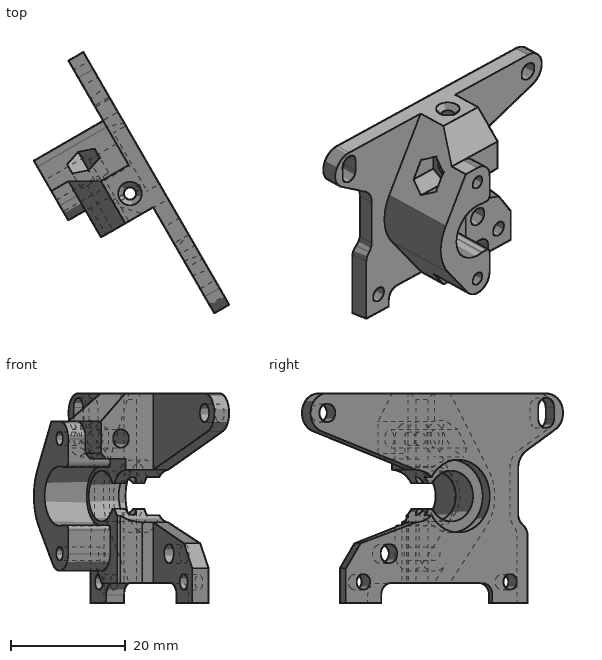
import cadquery as cq
import math

PLATE_YAW = 60.0
PLATE_T = 3.0
HEIGHT = 36.5
PLATE_HALF = 25.4

EAR_R = 3.4
EAR_U = PLATE_HALF - EAR_R
EAR_Z = HEIGHT - EAR_R
EAR_HOLE_D = 3.2
EAR_SLOT_LENGTH = 5.25

FOOT_U = 17.75
FOOT_FLARE = 0.5
FOOT_INNER_U = 12.2
NOTCH_FLARE = 1.05
NOTCH_Z = 3.45
NOTCH_R = 2.0
FOOT_HOLE_U = 14.75
FOOT_HOLE_Z = 3.7
FOOT_HOLE_D = 2.7
FOOT_TOP_Z = 6.05
SHOULDER_U = 14.85
SHOULDER_Z = 10.38
EXTRA_HOLE_U = 9.6
EXTRA_HOLE_D = 3.3

WAIST_U = -16.4
WAIST_CORNER_Z = 25.5
WAIST_R = 3.65
WAIST_BOTTOM_Z = 15.1
FOOT_LEFT_TOP_Z = 12.05
BEND_SHARE = 0.15

AXIS_Z = 18.6
BORE_U = -4.32
BODY_R = 9.0
BODY_RIGHT_U = 4.1
UPPER_SLANT = 30.0
WALL_W = 8.5
BLOCK_W = 13.45
ARM_W = 16.95
ARM_R = 3.0
ARM_SPACING = 10.0
ARM_HOLE_D = 2.3
ARM_TOP_Z = AXIS_Z + ARM_SPACING + ARM_R
OVERHANG_Z = 25.08
OVERHANG_CHAMFER = 1.0
CORNER_U = 1.2
CORNER_STEP_W = 7.87
CORNER_SIDE_W = 5.2

BORE_R = 5.2
INNER_BORE_R = 4.4
BACK_BORE_R = 6.33
BACK_BORE_DEPTH = 2.5
MOUTH_R = 4.55
MOUTH_U = 4.2
MOUTH_GAP = 4.45
ARM_GAP = 10.1
ARM_LIP_R = 0.77

GUIDE_W = 5.3
GUIDE_D = 2.1
GUIDE_SINK_D = 4.1
BOLT_W = 9.45
BOLT_Z = AXIS_Z + ARM_SPACING
BOLT_D = 3.2
NUT_FLATS = 5.5
NUT_FLOOR_U = -5.0

FAR = 68.25


def plane(w=0.0):
    """Working plane parallel to the plate, at height w above its back face."""
    return cq.Workplane("XZ", origin=(0, -w, 0))


def cylinder(u, z, radius, w_start, w_end):
    return plane(w_start).center(u, z).circle(radius).extrude(w_end - w_start)


def box(u_range, w_range, z_range):
    return cq.Workplane("XY").box(
        u_range[1] - u_range[0], w_range[1] - w_range[0], z_range[1] - z_range[0], centered=False
    ).translate((u_range[0], -w_range[1], z_range[0]))


def polar(u, z, radius, degrees):
    a = math.radians(degrees)
    return (u + radius * math.cos(a), z + radius * math.sin(a))


def ear_tangent(u, z, side):
    """Direction, about the ear centre, of the tangent point of a line from below."""
    du, dz = u - side * EAR_U, z - EAR_Z
    swing = math.acos(EAR_R / math.hypot(du, dz))
    return math.degrees(math.atan2(dz, du) + side * swing)


def plate_outline(w, outer, inner):
    """Plate outline at height w, with the foot sides moved by the given flares."""
    mouth_top = AXIS_Z + MOUTH_R
    mouth_bottom = AXIS_Z - MOUTH_R
    right_angle = ear_tangent(BODY_RIGHT_U, mouth_top, 1)
    left_angle = ear_tangent(WAIST_U, WAIST_CORNER_Z, -1)
    right_end = polar(EAR_U, EAR_Z, EAR_R, right_angle)
    left_end = polar(-EAR_U, EAR_Z, EAR_R, left_angle)
    slope = math.atan2(left_end[1] - WAIST_CORNER_Z, left_end[0] - WAIST_U)
    turn = math.pi / 2 - (math.pi - slope)
    run = WAIST_R * math.tan(turn / 2)
    waist_start = polar(WAIST_U, WAIST_CORNER_Z, run, math.degrees(slope))
    waist_mid = (WAIST_U - WAIST_R + WAIST_R * math.cos(turn / 2),
                 WAIST_CORNER_Z - run + WAIST_R * math.sin(turn / 2))
    foot = FOOT_U + outer
    wall = FOOT_INNER_U - inner
    arc = NOTCH_R * (1 - math.sqrt(0.5))
    bend_u = (WAIST_U - foot) / 2
    bend_z = (WAIST_BOTTOM_Z + FOOT_LEFT_TOP_Z) / 2
    quarter_u = (foot + WAIST_U) * BEND_SHARE
    quarter_z = (WAIST_BOTTOM_Z - FOOT_LEFT_TOP_Z) / 4
    return (
        plane(w)
        .moveTo(-EAR_U, HEIGHT)
        .lineTo(EAR_U, HEIGHT)
        .threePointArc(polar(EAR_U, EAR_Z, EAR_R, (90 + right_angle) / 2), right_end)
        .lineTo(BODY_RIGHT_U, mouth_top)
        .lineTo(BODY_RIGHT_U, mouth_bottom)
        .lineTo(SHOULDER_U + outer, SHOULDER_Z)
        .lineTo(foot, FOOT_TOP_Z)
        .lineTo(foot, 0)
        .lineTo(wall, 0)
        .lineTo(wall, NOTCH_Z - NOTCH_R)
        .threePointArc((wall - arc, NOTCH_Z - arc), (wall - NOTCH_R, NOTCH_Z))
        .lineTo(-wall + NOTCH_R, NOTCH_Z)
        .threePointArc((-wall + arc, NOTCH_Z - arc), (-wall, NOTCH_Z - NOTCH_R))
        .lineTo(-wall, 0)
        .lineTo(-foot, 0)
        .lineTo(-foot, FOOT_LEFT_TOP_Z)
        .threePointArc((-foot + quarter_u, bend_z - quarter_z), (bend_u, bend_z))
        .threePointArc((WAIST_U - quarter_u, bend_z + quarter_z), (WAIST_U, WAIST_BOTTOM_Z))
        .lineTo(WAIST_U, WAIST_CORNER_Z - run)
        .threePointArc(waist_mid, waist_start)
        .lineTo(*left_end)
        .threePointArc(polar(-EAR_U, EAR_Z, EAR_R, (90 + left_angle + 360) / 2), (-EAR_U, HEIGHT))
        .close()
    ).val()


def make_plate():
    back = plate_outline(0, FOOT_FLARE, NOTCH_FLARE)
    front = plate_outline(PLATE_T, 0, 0)
    plate = cq.Workplane(cq.Solid.makeLoft([back, front], True))
    holes = [
        (EAR_U, EAR_Z, EAR_HOLE_D),
        (EXTRA_HOLE_U, AXIS_Z - ARM_SPACING, EXTRA_HOLE_D),
        (FOOT_HOLE_U, FOOT_HOLE_Z, FOOT_HOLE_D),
        (-FOOT_HOLE_U, FOOT_HOLE_Z, FOOT_HOLE_D),
    ]
    for u, z, diameter in holes:
        plate = plate.cut(cylinder(u, z, diameter / 2, 0, PLATE_T))
    slot = plane().center(-EAR_U, EAR_Z).slot2D(EAR_SLOT_LENGTH, EAR_HOLE_D, 90).extrude(PLATE_T)
    return plate.cut(slot)


lower_slant = math.degrees(math.asin((BODY_R - ARM_R) / ARM_SPACING))
upper_tangent = polar(BORE_U, AXIS_Z, BODY_R, 180 - UPPER_SLANT)
lower_tangent = polar(BORE_U, AXIS_Z, BODY_R, 180 + lower_slant)
body_leftmost = (BORE_U - BODY_R, AXIS_Z)


def upper_left(z):
    """Point of the upper slanted side at height z."""
    return (upper_tangent[0] + (z - upper_tangent[1]) * math.tan(math.radians(UPPER_SLANT)), z)


def lower_left(z):
    """Point of the lower slanted side at height z."""
    return (lower_tangent[0] + (lower_tangent[1] - z) * math.tan(math.radians(lower_slant)), z)


def make_wall():
    wall = (
        plane()
        .moveTo(*upper_left(HEIGHT))
        .lineTo(BODY_RIGHT_U, HEIGHT)
        .lineTo(BODY_RIGHT_U, NOTCH_Z)
        .lineTo(*lower_left(NOTCH_Z))
        .lineTo(*lower_tangent)
        .threePointArc(body_leftmost, upper_tangent)
        .close()
        .extrude(WALL_W)
    )
    corner = (
        cq.Workplane("XY")
        .polyline([
            (CORNER_U, -WALL_W),
            (CORNER_U, -CORNER_STEP_W),
            (BODY_RIGHT_U, -CORNER_SIDE_W),
            (BODY_RIGHT_U, -WALL_W),
        ])
        .close()
        .extrude(AXIS_Z)
    )
    return wall.cut(corner)


def make_arms():
    """C-shaped clamp in front of the wall, open to the right."""
    edge = BORE_U + ARM_R
    top = AXIS_Z + ARM_SPACING
    bottom = AXIS_Z - ARM_SPACING
    lower_start = polar(BORE_U, bottom, ARM_R, 180 + lower_slant)
    arms = (
        plane(WALL_W)
        .moveTo(*upper_left(ARM_TOP_Z))
        .lineTo(BORE_U, ARM_TOP_Z)
        .threePointArc(polar(BORE_U, top, ARM_R, 45), (edge, top))
        .lineTo(edge, bottom)
        .threePointArc(polar(BORE_U, bottom, ARM_R, -45), lower_start)
        .lineTo(*lower_tangent)
        .threePointArc(body_leftmost, upper_tangent)
        .close()
        .extrude(ARM_W - WALL_W)
    )
    arms = arms.cut(cylinder(BORE_U, AXIS_Z, BORE_R, WALL_W, ARM_W))
    arms = arms.cut(box((BORE_U, FAR), (WALL_W, ARM_W), (AXIS_Z - ARM_GAP / 2, AXIS_Z + ARM_GAP / 2)))
    for z in (AXIS_Z - ARM_GAP / 2, AXIS_Z + ARM_GAP / 2):
        lip = cq.selectors.NearestToPointSelector((edge, -(WALL_W + ARM_W) / 2, z))
        arms = arms.edges(lip).fillet(ARM_LIP_R)
    for z in (bottom, top):
        arms = arms.cut(cylinder(BORE_U, z, ARM_HOLE_D / 2, WALL_W, ARM_W))
    return arms


def make_overhang():
    """Upper block with a sloping roof, overhanging the wall."""
    block = (
        plane(WALL_W)
        .polyline([
            upper_left(OVERHANG_Z),
            upper_left(HEIGHT),
            (BODY_RIGHT_U, HEIGHT),
            (BODY_RIGHT_U, OVERHANG_Z),
        ])
        .close()
        .extrude(BLOCK_W - WALL_W)
    )
    block = block.faces("<Y").edges("<Z").chamfer(OVERHANG_CHAMFER)
    roof_drop = HEIGHT - ARM_TOP_Z
    roof = (
        cq.Workplane("YZ", origin=(-FAR / 2, 0, 0))
        .polyline([(-BLOCK_W, ARM_TOP_Z), (-BLOCK_W, HEIGHT), (-BLOCK_W + roof_drop, HEIGHT)])
        .close()
        .extrude(FAR)
    )
    return block.cut(roof)


def cut_bores(part):
    part = part.cut(cylinder(BORE_U, AXIS_Z, INNER_BORE_R, 0, WALL_W))
    part = part.cut(cylinder(BORE_U, AXIS_Z, BACK_BORE_R, 0, BACK_BORE_DEPTH))
    part = part.cut(cylinder(MOUTH_U, AXIS_Z, MOUTH_R, 0, WALL_W))
    part = part.cut(box((BORE_U, MOUTH_U), (0, WALL_W), (AXIS_Z - MOUTH_GAP / 2, AXIS_Z + MOUTH_GAP / 2)))
    return part.cut(box((MOUTH_U, FAR), (0, ARM_W), (AXIS_Z - MOUTH_R, AXIS_Z + MOUTH_R)))


def cut_guide(part):
    """Countersunk vertical hole across the meeting of the two bores."""
    hole = cq.Workplane("XY").center(0, -GUIDE_W).circle(GUIDE_D / 2).extrude(HEIGHT)
    sink_depth = (GUIDE_SINK_D - GUIDE_D) / 2
    sink = cq.Solid.makeCone(
        GUIDE_D / 2, GUIDE_SINK_D / 2, sink_depth, cq.Vector(0, -GUIDE_W, HEIGHT - sink_depth)
    )
    return part.cut(hole).cut(cq.Workplane(sink))


def cut_bolt(part):
    """Cross bolt hole, with a hexagonal nut pocket in the slanted side."""
    bolt = (
        cq.Workplane("YZ", origin=(NUT_FLOOR_U, -BOLT_W, BOLT_Z))
        .circle(BOLT_D / 2)
        .extrude(BODY_RIGHT_U - NUT_FLOOR_U)
    )
    nut = (
        cq.Workplane("YZ", origin=(NUT_FLOOR_U, -BOLT_W, BOLT_Z))
        .transformed(rotate=(0, 0, 90))
        .polygon(6, NUT_FLATS / math.cos(math.pi / 6))
        .extrude(-BODY_R)
    )
    return part.cut(bolt).cut(nut)


body = make_plate().union(make_wall()).union(make_overhang()).union(make_arms())
body = cut_bolt(cut_guide(cut_bores(body)))
result = body.rotate((0, 0, 0), (0, 0, 1), -PLATE_YAW)